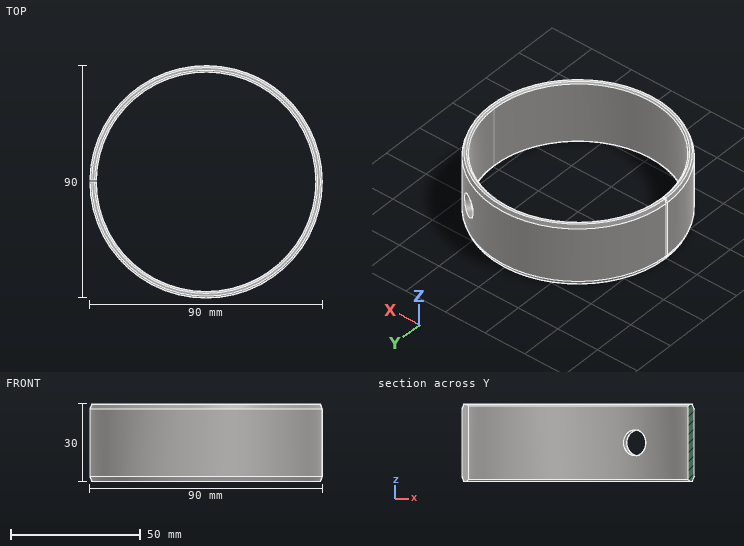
import cadquery as cq
import math

outer_diameter = 90.0
wall = 2.5
height = 30.0
outer_radius = outer_diameter / 2
inner_radius = outer_radius - wall

outer_chamfer_depth = 0.7
outer_chamfer_height = 1.9
inner_chamfer = 0.7

hole_diameter = 10.0
hole_angle = 58.8

gap_width = 0.6


def ring():
    """Revolve the wall section, chamfered at all four corners."""
    top = height / 2
    chamfer_top = top - outer_chamfer_height
    section = [
        (inner_radius, -top + inner_chamfer),
        (inner_radius + inner_chamfer, -top),
        (outer_radius - outer_chamfer_depth, -top),
        (outer_radius, -chamfer_top),
        (outer_radius, chamfer_top),
        (outer_radius - outer_chamfer_depth, top),
        (inner_radius + inner_chamfer, top),
        (inner_radius, top - inner_chamfer),
    ]
    return cq.Workplane("XZ").polyline(section).close().revolve(360, (0, 0), (0, 1))


def oil_hole():
    """Cylinder from the axis outwards through one side of the wall."""
    angle = math.radians(hole_angle)
    direction = cq.Vector(math.cos(angle), math.sin(angle), 0)
    return cq.Solid.makeCylinder(hole_diameter / 2, outer_diameter, cq.Vector(0, 0, 0), direction)


def joint_gap():
    """Thin block from the axis outwards along -X, taller than the ring."""
    block = cq.Workplane("XY").box(outer_diameter, gap_width, 2 * height)
    return block.translate((-outer_radius, gap_width / 2, 0))


result = ring().cut(oil_hole()).cut(joint_gap())